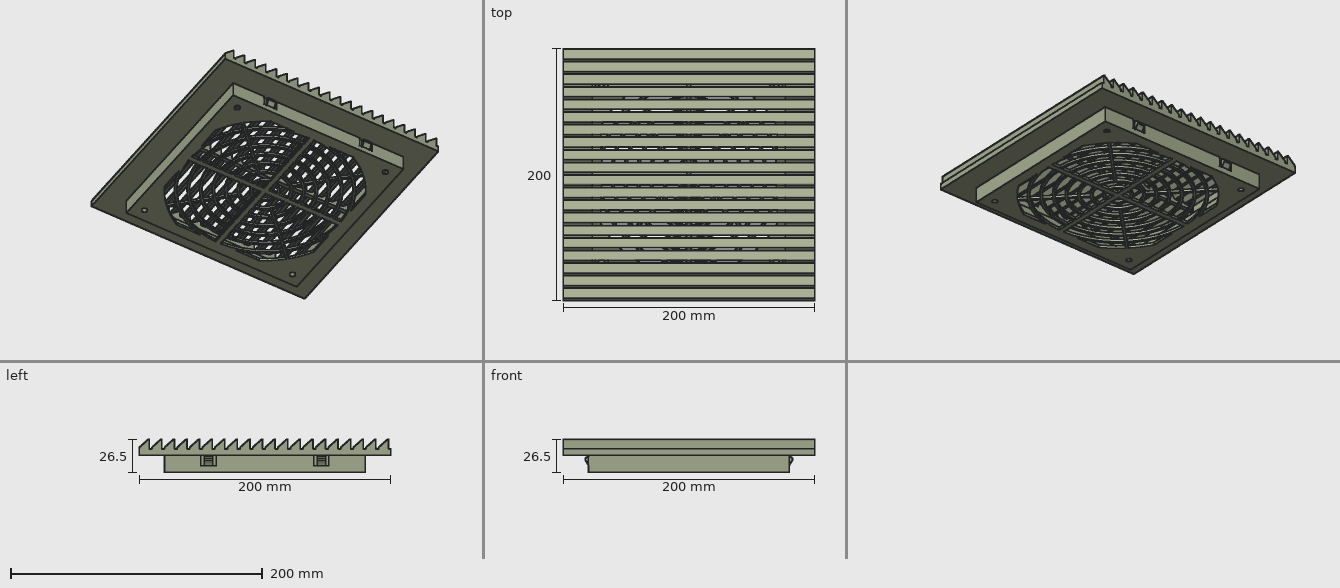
import cadquery as cq
import math

PLATE = 200.0
TOTAL_HEIGHT = 26.5
HOUSING_HEIGHT = 13.5

PLATE_THICKNESS = 5.2
PLATE_TOP = HOUSING_HEIGHT + PLATE_THICKNESS
OPENING = 153.2

LOUVER_COUNT = 20
LOUVER_PITCH = PLATE / LOUVER_COUNT
LOUVER_DEPTH = 8.2
LOUVER_ROUNDING = 0.5
TOE_RUN = 0.5
SLAT_FACE = 2.5
SLOPE_ANGLE = math.radians(42)
DIAGONAL = math.sqrt(0.5)

RIB_WIDTH = 3.2
RIB_BOTTOM = 15.2

HOUSING = 159.5
FLOOR_THICKNESS = 2.5

GUARD_RADIUS = 80.0
GUARD_SIDE = 140.0
RING_PITCH = 10.0
RING_WIDTH = 2.0
RING_COUNT = 7
CROSS_SPOKE_WIDTH = 4.8
DIAGONAL_SPOKE_WIDTH = 2.0
DIAGONAL_SPOKE_START = 2 * RING_PITCH + RING_WIDTH / 2

SCREW_SPACING = 138.8
SCREW_HOLE_DIAMETER = 4.5
SCREW_HEAD_DIAMETER = 10.5

CATCH_OFFSET = 44.8
CATCH_BOTTOM = 5.2
RECESS_WIDTH = 12.0
RECESS_DEPTH = 1.2
NOSE_WIDTH = 6.8
NOSE_REACH = 2.5
NOSE_TOP = 12.5
NOSE_TOP_REACH = 0.8
NOSE_UPPER = 11.0
NOSE_LOWER = 9.5
NOSE_HOLLOW = 0.2


def louver_start(index):
    """Y of the toe of a louver, counted from the +Y edge."""
    return PLATE / 2 - index * LOUVER_PITCH


def draw_louver_top(sketch, start):
    """Continue from the toe at (start, PLATE_TOP) over the tip to the top of the vertical face."""
    face = start - LOUVER_DEPTH
    center_y = face + LOUVER_ROUNDING
    center_z = TOTAL_HEIGHT - LOUVER_ROUNDING
    slope_end_y = center_y + LOUVER_ROUNDING * math.sin(SLOPE_ANGLE)
    slope_end_z = center_z + LOUVER_ROUNDING * math.cos(SLOPE_ANGLE)
    toe_y = start - TOE_RUN
    toe_z = slope_end_z - (toe_y - slope_end_y) * math.tan(SLOPE_ANGLE)
    return (
        sketch.lineTo(toe_y, toe_z)
        .lineTo(slope_end_y, slope_end_z)
        .threePointArc((center_y, TOTAL_HEIGHT), (face, center_z))
    )


def make_sawtooth(bottom, length):
    """Bar with the full row of louvers on top of it."""
    half = PLATE / 2
    sketch = cq.Workplane("YZ").moveTo(-half, bottom).lineTo(half, bottom)
    for index in range(LOUVER_COUNT):
        start = louver_start(index)
        face = start - LOUVER_DEPTH
        foot_bend = (
            face - LOUVER_ROUNDING * (1 - DIAGONAL),
            PLATE_TOP + LOUVER_ROUNDING * (1 - DIAGONAL),
        )
        sketch = draw_louver_top(sketch.lineTo(start, PLATE_TOP), start)
        sketch = sketch.lineTo(face, PLATE_TOP + LOUVER_ROUNDING)
        sketch = sketch.threePointArc(foot_bend, (face - LOUVER_ROUNDING, PLATE_TOP))
    return sketch.lineTo(-half, PLATE_TOP).close().extrude(length / 2, both=True)


def make_slat(index):
    """Slanted slat: the part of a louver that is left where it spans the opening."""
    start = louver_start(index)
    face = start - LOUVER_DEPTH
    underside_top = TOTAL_HEIGHT - SLAT_FACE
    underside_start = face + (underside_top - PLATE_TOP) / math.tan(SLOPE_ANGLE)
    sketch = draw_louver_top(cq.Workplane("YZ").moveTo(start, PLATE_TOP), start)
    sketch = sketch.lineTo(face, underside_top).lineTo(underside_start, PLATE_TOP).close()
    return sketch.extrude(OPENING / 2, both=True)


def make_cover():
    opening = cq.Workplane("XY").rect(OPENING, OPENING).extrude(TOTAL_HEIGHT)
    cover = make_sawtooth(HOUSING_HEIGHT, PLATE).cut(opening)
    cover = cover.union(make_sawtooth(RIB_BOTTOM, RIB_WIDTH).intersect(opening))
    for index in range(LOUVER_COUNT):
        start = louver_start(index)
        if start - LOUVER_DEPTH < OPENING / 2 and start > -OPENING / 2:
            cover = cover.union(make_slat(index))
    return cover


def make_spoke(angle):
    """Spoke across the guard; the diagonal ones leave the two inner rings free."""
    blank = cq.Workplane("XY")
    if angle % 90 == 0:
        spoke = blank.rect(2 * GUARD_RADIUS, CROSS_SPOKE_WIDTH).extrude(FLOOR_THICKNESS)
    else:
        spoke = blank.rect(2 * GUARD_RADIUS, DIAGONAL_SPOKE_WIDTH).extrude(FLOOR_THICKNESS)
        spoke = spoke.cut(blank.circle(DIAGONAL_SPOKE_START).extrude(FLOOR_THICKNESS))
    return spoke.rotate((0, 0, 0), (0, 0, 1), angle)


def make_guard_gaps():
    """Everything that is open between the rings and spokes of the finger guard."""
    gaps = (
        cq.Workplane("XY").circle(GUARD_RADIUS).extrude(FLOOR_THICKNESS)
        .intersect(cq.Workplane("XY").rect(GUARD_SIDE, GUARD_SIDE).extrude(FLOOR_THICKNESS))
    )
    for index in range(1, RING_COUNT + 1):
        inner = index * RING_PITCH
        gaps = gaps.cut(
            cq.Workplane("XY").circle(inner + RING_WIDTH).circle(inner).extrude(FLOOR_THICKNESS)
        )
    for angle in (0, 45, 90, 135):
        gaps = gaps.cut(make_spoke(angle))
    return gaps


def make_screw_holes():
    """Holes whose countersinks taper through the whole floor."""
    return (
        cq.Workplane("XY").rect(SCREW_SPACING, SCREW_SPACING, forConstruction=True).vertices()
        .eachpoint(
            cq.Solid.makeCone(SCREW_HOLE_DIAMETER / 2, SCREW_HEAD_DIAMETER / 2, FLOOR_THICKNESS),
            useLocalCoordinates=True,
        )
    )


def make_recess():
    """Recess around the catch on the +X wall at y = 0."""
    return (
        cq.Workplane("XY").workplane(offset=CATCH_BOTTOM).center(HOUSING / 2, 0)
        .rect(2 * RECESS_DEPTH, RECESS_WIDTH).extrude(HOUSING_HEIGHT - CATCH_BOTTOM)
    )


def make_nose():
    """Hooked nose of the catch on the +X wall at y = 0."""
    wall = HOUSING / 2
    root = wall - RECESS_DEPTH
    reach = wall + NOSE_REACH
    hollow = (
        (wall + reach) / 2 - NOSE_HOLLOW,
        (CATCH_BOTTOM + NOSE_LOWER) / 2 + NOSE_HOLLOW,
    )
    return (
        cq.Workplane("XZ").moveTo(root, NOSE_TOP)
        .lineTo(wall + NOSE_TOP_REACH, NOSE_TOP)
        .lineTo(reach, NOSE_UPPER)
        .lineTo(reach, NOSE_LOWER)
        .threePointArc(hollow, (wall, CATCH_BOTTOM))
        .lineTo(root, CATCH_BOTTOM)
        .close().extrude(NOSE_WIDTH / 2, both=True)
    )


def make_housing():
    cavity = (
        cq.Workplane("XY").workplane(offset=FLOOR_THICKNESS)
        .rect(OPENING, OPENING).extrude(HOUSING_HEIGHT)
    )
    housing = cq.Workplane("XY").rect(HOUSING, HOUSING).extrude(HOUSING_HEIGHT).cut(cavity)
    housing = housing.cut(make_guard_gaps()).cut(make_screw_holes())
    for turn in (0, 180):
        for offset in (-CATCH_OFFSET, CATCH_OFFSET):
            recess, nose = [
                shape.translate((0, offset, 0)).rotate((0, 0, 0), (0, 0, 1), turn)
                for shape in (make_recess(), make_nose())
            ]
            housing = housing.cut(recess).union(nose)
    return housing


cover = make_cover()
housing = make_housing()
result = cq.Compound.makeCompound([cover.val(), housing.val()])